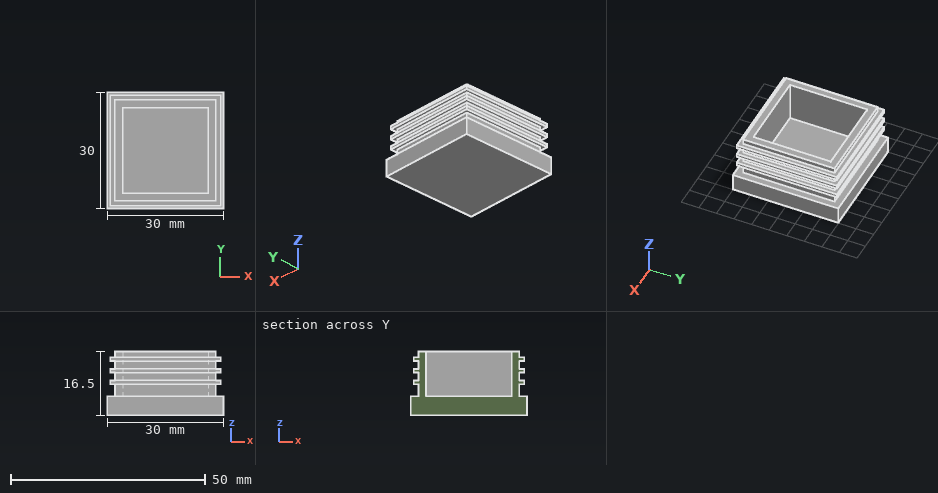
import cadquery as cq

total_height = 16.5
cap_width = 30.0
cap_height = 5.0
neck_width = 26.0
wall = 2.0
cavity_width = neck_width - 2 * wall

rib_width = 28.5
rib_thickness = 1.0
rib_pitch = 3.0
rib_count = 3
top_rib_setback = 1.5


def square_block(width, bottom, top):
    """Square block centred on the Z axis between two heights."""
    return cq.Workplane("XY").workplane(offset=bottom).rect(width, width).extrude(top - bottom)


cap = square_block(cap_width, 0, cap_height)
neck = square_block(neck_width, 0, total_height)
body = cap.union(neck)

for index in range(rib_count):
    rib_top = total_height - top_rib_setback - index * rib_pitch
    body = body.union(square_block(rib_width, rib_top - rib_thickness, rib_top))

cavity = square_block(cavity_width, cap_height, total_height)
result = body.cut(cavity)